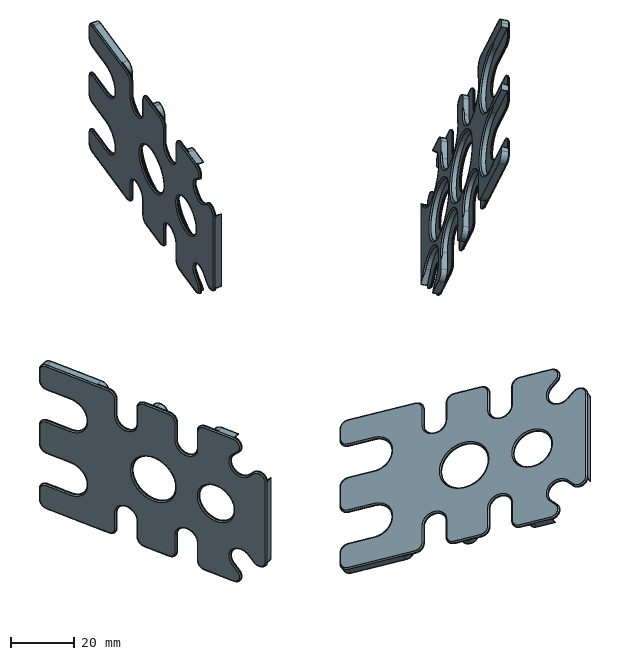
import cadquery as cq

length = 85.6
height = 56.6
thickness = 2.8
half_height = height / 2

web_thickness = 0.8
front_chamfer = 0.4
corner_radius = 2.9
pocket_chamfer = 0.5

edge_slots = [
    (12.0, 12.5, 6.0, 11.3, 180),
    (32.9, 19.1, 3.85, 8.1, 90),
    (55.55, 18.6, 3.85, 8.65, 90),
    (75.9, 18.6, 3.9, 8.65, 45),
]

hole_pocket_step = 3.4
holes = [
    (43.1, 16.3),
    (66.7, 13.2),
]

slot_reach = 34.2
diagonal_pocket_x = 68.5
tolerance = 0.01


def slab(front_y, depth):
    """Rectangular layer with the full plate outline."""
    layer = cq.Workplane("XY").box(length, depth, height, centered=(False, False, True))
    return layer.translate((0, front_y, 0))


def disc(x, z, radius):
    """Cylinder along Y through the whole plate."""
    return cq.Workplane("XZ", origin=(x, 0, z)).circle(radius).extrude(-thickness)


def open_slot(x, z, radius, direction):
    """Slot cutter through the whole plate: round end at (x, z), running straight out along direction."""
    straight = cq.Workplane("XZ").rect(slot_reach, 2 * radius).extrude(-thickness)
    straight = straight.translate((slot_reach / 2, 0, 0))
    straight = straight.rotate((0, 0, 0), (0, 1, 0), -direction).translate((x, 0, z))
    return disc(x, z, radius).union(straight)


def cone_cutter(x, z, radius):
    """Conical chamfer cutter, widening by pocket_chamfer toward the back face."""
    cone = cq.Solid.makeCone(
        radius,
        radius + pocket_chamfer,
        pocket_chamfer,
        pnt=cq.Vector(x, thickness - pocket_chamfer, z),
        dir=cq.Vector(0, 1, 0),
    )
    return cq.Workplane(cone)


def on_outline(edge):
    """True for an edge lying on the rectangular outline of the plate."""
    center = edge.Center()
    on_side = min(center.x, length - center.x) < tolerance
    on_top_or_bottom = half_height - abs(center.z) < tolerance
    return on_side or on_top_or_bottom


def rounded_on_back(edge):
    """True for the outer corners of the back tabs, away from the diagonal pockets."""
    center = edge.Center()
    return half_height - abs(center.z) < tolerance and center.x < diagonal_pocket_x


def round_corners(layer, is_corner):
    """Fillet the edges along Y that is_corner accepts."""
    corners = [edge for edge in layer.edges("|Y").vals() if is_corner(edge)]
    return layer.newObject(corners).fillet(corner_radius)


web = slab(0, web_thickness)
backing = slab(web_thickness, thickness - web_thickness)
pocket_ends = []

for x, upper_z, slot_radius, pocket_radius, angle in edge_slots:
    for side in (1, -1):
        z = side * upper_z
        web = web.cut(open_slot(x, z, slot_radius, side * angle))
        backing = backing.cut(open_slot(x, z, pocket_radius, side * angle))
        pocket_ends.append((x, z, pocket_radius))

for x, diameter in holes:
    hole_radius = diameter / 2
    pocket_radius = hole_radius + hole_pocket_step
    web = web.cut(disc(x, 0, hole_radius))
    backing = backing.cut(disc(x, 0, pocket_radius))
    pocket_ends.append((x, 0, pocket_radius))

web = round_corners(web, on_outline)
web = web.faces("<Y").chamfer(front_chamfer)
backing = round_corners(backing, rounded_on_back)

for x, z, radius in pocket_ends:
    backing = backing.cut(cone_cutter(x, z, radius))

result = web.union(backing)